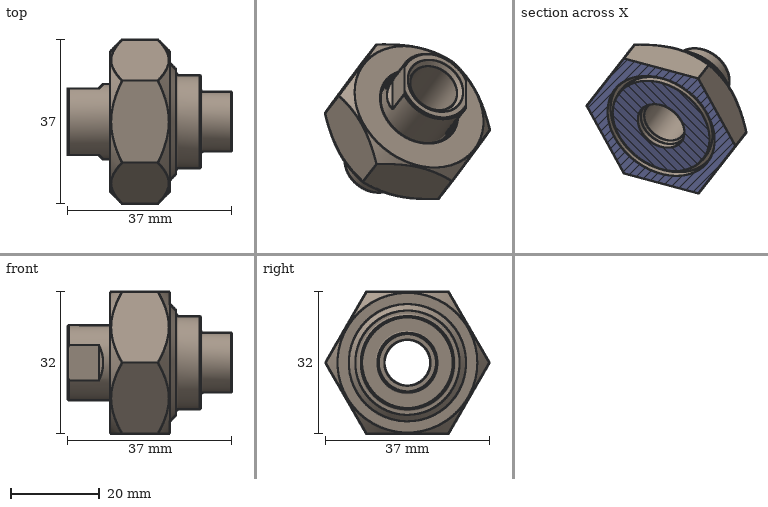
import cadquery as cq
import math

overall_length = 37.0
edge_chamfer = 0.3

nut_start = 9.5
nut_length = 13.5
nut_end = nut_start + nut_length
nut_across_flats = 32.0
nut_face_diameter = 31.5
nut_shoulder_thickness = 3.48
shoulder_end = nut_start + nut_shoulder_thickness
thread_diameter = 26.4

tube_diameter = 17.0
tube_bore = 11.45
tube_mouth_diameter = 13.5
tube_mouth_depth = (tube_mouth_diameter - tube_bore) / 2
tube_root_fillet = 0.4
hub_start = 11.47
hub_diameter = 18.5
hub_chamfer = 0.4
collar_diameter = 24.12
collar_thickness = 2.95
joint_face = shoulder_end + collar_thickness
flat_across = 15.02
flat_length = 7.0

thread_end = 24.42
thread_end_diameter = 23.5
step_end = 30.0
step_diameter = 21.0
step_root_fillet = 0.55
spigot_diameter = 13.5
spigot_root_fillet = 0.45
tail_bore = 10.3


def cylinder(diameter, start, end):
    """Solid cylinder on the X axis."""
    return cq.Workplane("YZ", origin=(start, 0, 0)).circle(diameter / 2).extrude(end - start)


def revolve_profile(profile):
    """Turn a closed (x, radius) profile about the X axis."""
    return profile.close().revolve(360, (0, 0, 0), (1, 0, 0))


def make_nut():
    """Hexagonal nut with conical corners, a shouldered bore and a thread recess."""
    across_corners = nut_across_flats / math.cos(math.pi / 6)
    hexagon = cq.Workplane("YZ", origin=(nut_start, 0, 0)).polygon(6, across_corners).extrude(nut_length)
    corner_chamfer = (across_corners - nut_face_diameter) / 2
    envelope = cylinder(across_corners, nut_start, nut_end).faces("<X or >X").chamfer(corner_chamfer)
    bore = cylinder(hub_diameter, nut_start, nut_end)
    recess = cylinder(thread_diameter, shoulder_end, nut_end)
    nut = hexagon.intersect(envelope).cut(bore)
    nut = nut.faces("<X").edges("%CIRCLE").edges(cq.selectors.RadiusNthSelector(0)).chamfer(edge_chamfer)
    return nut.cut(recess)


def make_wrench_tube():
    """Flanged tube with two wrench flats and a conical mouth."""
    tube_radius = tube_diameter / 2
    root_radius = tube_radius + tube_root_fillet
    hub_radius = hub_diameter / 2
    collar_radius = collar_diameter / 2
    profile = (
        cq.Workplane("XY")
        .moveTo(0, tube_mouth_diameter / 2)
        .lineTo(0, tube_radius - edge_chamfer)
        .lineTo(edge_chamfer, tube_radius)
        .lineTo(hub_start - tube_root_fillet, tube_radius)
        .radiusArc((hub_start, root_radius), -tube_root_fillet)
        .lineTo(hub_start + hub_chamfer, hub_radius)
        .lineTo(shoulder_end, hub_radius)
        .lineTo(shoulder_end, collar_radius)
        .lineTo(joint_face, collar_radius)
        .lineTo(joint_face, tube_bore / 2)
        .lineTo(tube_mouth_depth, tube_bore / 2)
    )
    tube = revolve_profile(profile)
    flat = flat_across / 2
    cut_depth = tube_diameter - flat
    for side in (-1, 1):
        flat_cut = (
            cq.Workplane("XY")
            .moveTo(0, side * flat)
            .lineTo(flat_length, side * flat)
            .lineTo(flat_length + cut_depth, side * tube_diameter)
            .lineTo(0, side * tube_diameter)
            .close()
            .extrude(tube_radius, both=True)
        )
        tube = tube.cut(flat_cut.intersect(cylinder(tube_diameter, 0, hub_start - tube_root_fillet)))
    return tube


def make_tailpiece():
    """Stepped tailpiece: threaded head, middle step and spigot, bored through."""
    thread_radius = thread_diameter / 2
    thread_end_radius = thread_end_diameter / 2
    step_radius = step_diameter / 2
    spigot_radius = spigot_diameter / 2
    entry_chamfer = (tube_bore - tail_bore) / 2
    profile = (
        cq.Workplane("XY")
        .moveTo(joint_face, tube_bore / 2)
        .lineTo(joint_face, thread_radius)
        .lineTo(nut_end, thread_radius)
        .lineTo(thread_end, thread_end_radius)
        .lineTo(thread_end, step_radius + step_root_fillet)
        .radiusArc((thread_end + step_root_fillet, step_radius), -step_root_fillet)
        .lineTo(step_end - edge_chamfer, step_radius)
        .lineTo(step_end, step_radius - edge_chamfer)
        .lineTo(step_end, spigot_radius + spigot_root_fillet)
        .radiusArc((step_end + spigot_root_fillet, spigot_radius), -spigot_root_fillet)
        .lineTo(overall_length - edge_chamfer, spigot_radius)
        .lineTo(overall_length, spigot_radius - edge_chamfer)
        .lineTo(overall_length, tail_bore / 2)
        .lineTo(joint_face + entry_chamfer, tail_bore / 2)
    )
    return revolve_profile(profile)


nut = make_nut()
wrench_tube = make_wrench_tube()
tailpiece = make_tailpiece()

result = cq.Compound.makeCompound([nut.solids().val(), wrench_tube.solids().val(), tailpiece.val()])